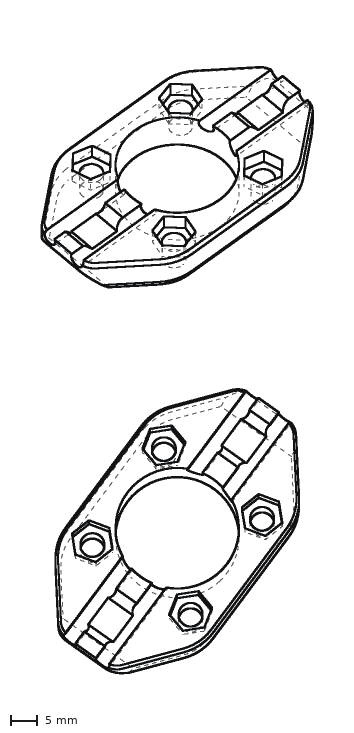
import cadquery as cq
import math

WIDTH = 34.0
LENGTH = 58.0
THICKNESS = 8.0
BORE_DIAMETER = 23.0

END_HALF_WIDTH = 6.2
SIDE_HALF_LENGTH = 15.5
SIDE_CORNER_RADIUS = 10.0
END_CORNER_RADIUS = 4.0

TOP_CHAMFER_INSET = 0.5
TOP_CHAMFER_HEIGHT = 1.0
BOTTOM_CHAMFER_INSET = 1.0
BOTTOM_CHAMFER_HEIGHT = 2.0
END_RAMP_RUN = 4.0
END_RAMP_HEIGHT = 4.9

BOLT_CIRCLE_DIAMETER = 32.0
HOLE_DIAMETER = 4.5
NUT_ACROSS_FLATS = 7.0
NUT_POCKET_DEPTH = 3.2
NUT_POCKET_ANGLE = 15.0

GROOVE_RADIUS = 1.5
GROOVE_OFFSET = 3.7
GROOVE_AXIS_DEPTH = 0.75
POCKET_DEPTH = 2.0
POCKET_CENTER_Y = 21.1
POCKET_TOP_LENGTH = 10.1
POCKET_FLOOR_LENGTH = 6.3

HALF_WIDTH = WIDTH / 2
HALF_LENGTH = LENGTH / 2


def make_plate():
    """Rounded octagonal prism with chamfered top and bottom rims."""
    quarter = [(HALF_WIDTH, SIDE_HALF_LENGTH), (END_HALF_WIDTH, HALF_LENGTH)]
    right_half = [(x, -y) for x, y in reversed(quarter)] + quarter
    left_half = [(-x, -y) for x, y in right_half]
    plate = cq.Workplane("XY").polyline(right_half + left_half).close().extrude(THICKNESS)

    for side_face in (">X", "<X"):
        plate = plate.faces(side_face).edges("|Z").fillet(SIDE_CORNER_RADIUS)
    for end_face in (">Y", "<Y"):
        plate = plate.faces(end_face).edges("|Z").fillet(END_CORNER_RADIUS)

    plate = plate.faces(">Z").chamfer(TOP_CHAMFER_HEIGHT, TOP_CHAMFER_INSET)
    return plate.faces("<Z").chamfer(BOTTOM_CHAMFER_HEIGHT, BOTTOM_CHAMFER_INSET)


def make_center_rib():
    """Square-edged strip that carries the full height right up to both end faces."""
    return cq.Workplane("XY").box(2 * GROOVE_OFFSET, LENGTH, THICKNESS, centered=(True, True, False))


def make_end_ramp(end):
    """Wedge below one end (end = 1 or -1) that leaves a slanted underside."""
    outer_y = end * HALF_LENGTH
    return (
        cq.Workplane("YZ")
        .polyline([(outer_y, 0), (outer_y, END_RAMP_HEIGHT), (outer_y - end * END_RAMP_RUN, 0)])
        .close()
        .extrude(HALF_WIDTH, both=True)
    )


def make_groove(side):
    """Cylinder along Y just below the top face, on one side (1 or -1) of the centre line."""
    return (
        cq.Workplane("XZ")
        .center(side * GROOVE_OFFSET, THICKNESS - GROOVE_AXIS_DEPTH)
        .circle(GROOVE_RADIUS)
        .extrude(HALF_LENGTH, both=True)
    )


def make_pocket(end):
    """Slope-ended recess between the grooves at one end (1 or -1) of the plate."""
    top_half = POCKET_TOP_LENGTH / 2
    floor_half = POCKET_FLOOR_LENGTH / 2
    return (
        cq.Workplane("YZ")
        .center(end * POCKET_CENTER_Y, THICKNESS)
        .polyline([(-top_half, 0), (-floor_half, -POCKET_DEPTH), (floor_half, -POCKET_DEPTH), (top_half, 0)])
        .close()
        .extrude(GROOVE_OFFSET, both=True)
    )


def make_screw_hole(side, end):
    """Through hole with a nut pocket that has a flat facing the plate centre."""
    offset = BOLT_CIRCLE_DIAMETER / 2 * math.cos(math.radians(45))
    hole = cq.Workplane("XY").circle(HOLE_DIAMETER / 2).extrude(THICKNESS)
    nut_pocket = (
        cq.Workplane("XY", origin=(0, 0, THICKNESS - NUT_POCKET_DEPTH))
        .polygon(6, NUT_ACROSS_FLATS, circumscribed=True)
        .extrude(NUT_POCKET_DEPTH)
        .rotate((0, 0, 0), (0, 0, 1), -side * end * NUT_POCKET_ANGLE)
    )
    return hole.union(nut_pocket).translate((side * offset, end * offset, 0))


def make_bore():
    """Central through bore."""
    return cq.Workplane("XY").circle(BORE_DIAMETER / 2).extrude(THICKNESS)


result = make_plate().union(make_center_rib()).cut(make_bore())
for end in (1, -1):
    result = result.cut(make_end_ramp(end)).cut(make_pocket(end))
for side in (1, -1):
    result = result.cut(make_groove(side))
    for end in (1, -1):
        result = result.cut(make_screw_hole(side, end))